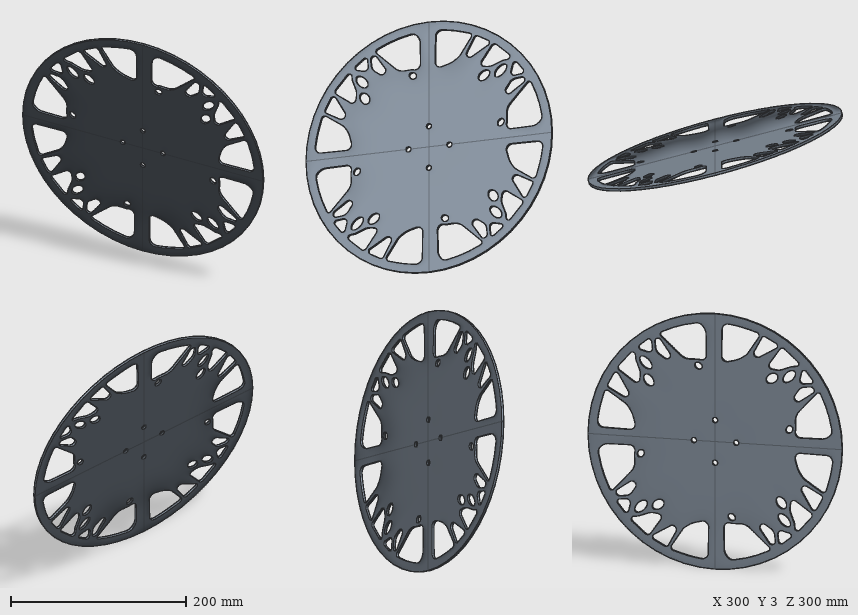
import cadquery as cq
import math

disc_diameter = 300.0
thickness = 3.0
quadrants = 4
quadrant_angle = 360.0 / quadrants

mount_hole_diameter = 6.2
mount_circle_radius = 25.0

rim_width = 10.0
rim_inner_radius = disc_diameter / 2 - rim_width

upper_large_opening = [
    (10.6, 130.3, 14.0),
    (17.6, 138.6, 8.2),
    (43.1, 134.4, rim_inner_radius),
    (67.1, 122.8, 3.1),
    (36.2, 94.4, 17.0),
    (20.4, 95.2, 8.0),
    (10.2, 92.6, 6.4),
]
upper_teardrop = [
    (72.9, 128.6, 4.1),
    (69.9, 101.0, 10.5),
    (39.2, 79.8, 4.6),
]
small_triangle = [
    (75.4, 118.4, 3.2),
    (94.1, 103.7, 3.3),
    (73.2, 98.4, 4.7),
]
middle_triangle = [
    (94.9, 103.5, 3.4),
    (116.6, 78.9, 4.2),
    (90.0, 60.1, 4.4),
    (87.8, 75.3, 16.0),
    (93.4, 90.3, 7.5),
]
lower_triangle = [
    (116.9, 77.6, 3.6),
    (128.2, 56.7, 3.4),
    (94.0, 38.2, 4.7),
]
lower_large_opening = [
    (129.7, 54.4, 4.0),
    (137.4, 28.3, rim_inner_radius),
    (139.8, 8.2, 7.4),
    (92.5, 7.4, 6.5),
    (97.9, 28.6, 33.0),
    (104.6, 37.6, 14.0),
]
rounded_openings = [
    upper_large_opening,
    upper_teardrop,
    small_triangle,
    middle_triangle,
    lower_triangle,
    lower_large_opening,
]

elliptical_openings = [
    (81.7, 87.5, 9.2, 5.1, 46.0),
    (78.3, 67.2, 7.7, 5.3, 54.5),
    (19.6, 87.7, 4.7, 3.8, 35.0),
]


def mid_plane():
    """Workplane on the XZ plane through the middle of the plate."""
    return cq.Workplane("XZ")


def cutter(sketch):
    """Extrude a closed outline right through the plate."""
    return sketch.extrude(thickness, both=True)


def rounded_corner(before, corner, after):
    """Start, middle and end of the arc that rounds one corner of an outline."""
    x, z, radius = corner
    vertex = cq.Vector(x, z)
    to_before = (cq.Vector(before[0], before[1]) - vertex).normalized()
    to_after = (cq.Vector(after[0], after[1]) - vertex).normalized()
    half_angle = to_before.getAngle(to_after) / 2
    tangent_length = radius / math.tan(half_angle)
    bisector = (to_before + to_after).normalized()
    apex_distance = radius / math.sin(half_angle) - radius
    start = vertex + to_before * tangent_length
    middle = vertex + bisector * apex_distance
    end = vertex + to_after * tangent_length
    return [(point.x, point.y) for point in (start, middle, end)]


def rounded_opening(corners):
    """Cutter with straight sides joined by tangent arcs."""
    count = len(corners)
    arcs = [
        rounded_corner(corners[i - 1], corners[i], corners[(i + 1) % count])
        for i in range(count)
    ]
    first_start, first_middle, first_end = arcs[0]
    outline = mid_plane().moveTo(*first_start).threePointArc(first_middle, first_end)
    for start, middle, end in arcs[1:]:
        outline = outline.lineTo(*start).threePointArc(middle, end)
    return cutter(outline.close())


def elliptical_opening(x, z, half_length, half_width, tilt):
    """Cutter for a tilted elliptical hole."""
    return cutter(mid_plane().center(x, z).ellipse(half_length, half_width, tilt))


def mounting_holes():
    """Cutters for the two mounting holes that lie half in the first quadrant, on +X and +Z."""
    centers = [(mount_circle_radius, 0), (0, mount_circle_radius)]
    return [cutter(mid_plane().center(x, z).circle(mount_hole_diameter / 2)) for x, z in centers]


def plain_quadrant():
    """Quarter of the round plate, in +X and +Z."""
    radius = disc_diameter / 2
    arc_middle = radius * math.cos(math.radians(quadrant_angle / 2))
    outline = (
        mid_plane()
        .lineTo(radius, 0)
        .threePointArc((arc_middle, arc_middle), (0, radius))
        .close()
    )
    return outline.extrude(thickness / 2, both=True)


def pierced_quadrant():
    """Quarter of the plate with all its openings cut through."""
    plate = plain_quadrant()
    cutters = [rounded_opening(corners) for corners in rounded_openings]
    cutters += [elliptical_opening(*ellipse) for ellipse in elliptical_openings]
    cutters += mounting_holes()
    for opening in cutters:
        plate = plate.cut(opening)
    return plate


quarter = pierced_quadrant()
result = quarter
for quadrant in range(1, quadrants):
    turned = quarter.rotate((0, 0, 0), (0, 1, 0), quadrant * quadrant_angle)
    result = result.union(turned, clean=False)